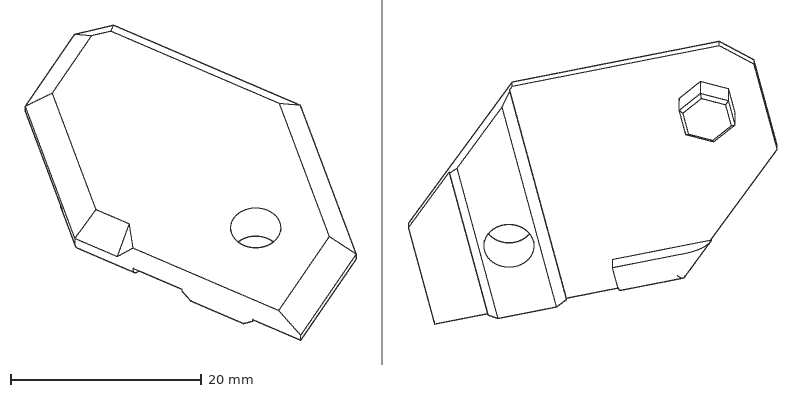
import cadquery as cq

LENGTH = 40.0
WIDTH = 26.9
THICKNESS = 3.5
BEVEL = 2.65
RIM = THICKNESS - BEVEL
FRONT_LEFT_CUT = 12.95
BACK_LEFT_CUT = 3.05
BACK_RIGHT_CUT = 14.6

FRONT_BEVEL_END = 18.05
FRONT_BEVEL_RUNOUT = 19.9

RIDGE_CENTER_X = 30.0
RIDGE_WIDTH = 8.5
RIDGE_HEIGHT = 1.35
RIDGE_CHAMFER = 1.1
HOLE_DIAMETER = 5.3
HOLE_Y = 8.5

PEG_CENTER = (5.95, 19.9)
PEG_CORNER_DIAMETER = 6.15
PEG_HEIGHT = 2.75
PEG_CHAMFER = 0.35

LIP_END_X = FRONT_BEVEL_RUNOUT
LIP_DEPTH = 3.85
LIP_HEIGHT = 2.05
LIP_RELIEF = 0.4


def outline(front_y=0.0):
    """Plate outline, with the front edge moved to front_y along its neighbouring sides."""
    return cq.Workplane("XY").polyline([
        (FRONT_LEFT_CUT - front_y, front_y),
        (LENGTH, front_y),
        (LENGTH, WIDTH - BACK_RIGHT_CUT),
        (LENGTH - BACK_RIGHT_CUT, WIDTH),
        (BACK_LEFT_CUT, WIDTH),
        (0, WIDTH - BACK_LEFT_CUT),
        (0, FRONT_LEFT_CUT),
    ]).close()


def make_front_bevel():
    """Cutter for the short front bevel: a wedge whose end tapers out to a point."""
    wedge = (
        cq.Workplane("YZ", origin=(FRONT_LEFT_CUT, 0, 0))
        .polyline([(0, RIM), (BEVEL, THICKNESS), (0, THICKNESS)])
        .close()
        .extrude(FRONT_BEVEL_END - FRONT_LEFT_CUT)
    )
    inner = (FRONT_BEVEL_END, BEVEL, THICKNESS)
    outer = (FRONT_BEVEL_END, 0, THICKNESS)
    lower = (FRONT_BEVEL_END, 0, RIM)
    tip = (FRONT_BEVEL_RUNOUT, 0, THICKNESS)
    triangles = [(inner, outer, lower), (inner, tip, outer), (outer, tip, lower), (inner, lower, tip)]
    faces = [
        cq.Face.makeFromWires(cq.Wire.makePolygon([cq.Vector(*p) for p in corners], close=True))
        for corners in triangles
    ]
    runout = cq.Solid.makeSolid(cq.Shell.makeShell(faces))
    return wedge, runout


def make_plate():
    rim = outline().extrude(RIM)
    tapered = outline(-2 * BEVEL).extrude(BEVEL, taper=45).translate((0, 0, RIM))
    upright_front = cq.Workplane("XY").box(LENGTH, WIDTH, THICKNESS, centered=False)
    plate = rim.union(tapered.intersect(upright_front))
    for cutter in make_front_bevel():
        plate = plate.cut(cutter)
    return plate


def make_ridge():
    """Chamfered ridge along Y, ending flush with the plate's angled back edge."""
    half_width = RIDGE_WIDTH / 2
    half_base = half_width - RIDGE_CHAMFER
    shoulder_z = RIDGE_CHAMFER - RIDGE_HEIGHT
    ridge = (
        cq.Workplane("XZ", origin=(RIDGE_CENTER_X, 0, 0))
        .polyline([
            (-half_width, 0),
            (-half_width, shoulder_z),
            (-half_base, -RIDGE_HEIGHT),
            (half_base, -RIDGE_HEIGHT),
            (half_width, shoulder_z),
            (half_width, 0),
        ])
        .close()
        .extrude(-WIDTH)
    )
    return ridge.intersect(outline().extrude(-RIDGE_HEIGHT))


def make_peg():
    return (
        cq.Workplane("XY")
        .center(*PEG_CENTER)
        .transformed(rotate=(0, 0, 90))
        .polygon(6, PEG_CORNER_DIAMETER)
        .extrude(-PEG_HEIGHT)
        .faces("<Z")
        .chamfer(PEG_CHAMFER)
    )


def make_lip():
    """Lip following the plate's front corner, rounded along its two outer bottom edges."""
    lip = (
        cq.Workplane("XY", origin=(0, 0, RIM))
        .polyline([
            (FRONT_LEFT_CUT, 0),
            (LIP_END_X, 0),
            (LIP_END_X, LIP_DEPTH),
            (FRONT_LEFT_CUT - LIP_DEPTH, LIP_DEPTH),
        ])
        .close()
        .extrude(-LIP_HEIGHT - RIM)
    )
    bottom_edges = lip.faces("<Z").edges()
    outer_edges = bottom_edges.edges("<Y").add(bottom_edges.edges("<X"))
    lip = outer_edges.fillet(LIP_HEIGHT).intersect(outline().extrude(-LIP_HEIGHT))
    return lip.faces(">Y").edges(">Z").chamfer(LIP_RELIEF)


hole = (
    cq.Workplane("XY", origin=(RIDGE_CENTER_X, HOLE_Y, -RIDGE_HEIGHT))
    .circle(HOLE_DIAMETER / 2)
    .extrude(RIDGE_HEIGHT + THICKNESS)
)
result = make_plate().union(make_ridge()).union(make_peg()).union(make_lip()).cut(hole)